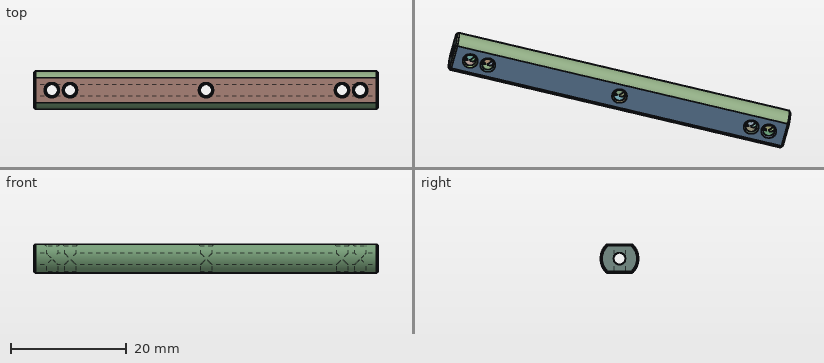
import cadquery as cq

shaft_length = 59.38
shaft_diameter = 6.6
across_flats = 5.0
end_chamfer = 0.3

bore_diameter = 2.0

cross_hole_diameter = 2.0
countersink_diameter = 2.6
inner_hole_offset = 23.45
hole_pair_spacing = 3.13
outer_hole_offset = inner_hole_offset + hole_pair_spacing
cross_hole_positions = [
    -outer_hole_offset,
    -inner_hole_offset,
    0.0,
    inner_hole_offset,
    outer_hole_offset,
]


def make_shaft():
    """Round bar centred on the origin, flattened at +Z and -Z, with chamfered ends."""
    bar = cq.Workplane("YZ").circle(shaft_diameter / 2).extrude(shaft_length / 2, both=True)
    flats = cq.Workplane("XY").box(shaft_length, shaft_diameter, across_flats)
    return bar.intersect(flats).faces("<X or >X").edges().chamfer(end_chamfer)


def make_bore():
    """Cutter for the bore through the full length of the shaft."""
    return cq.Workplane("YZ").circle(bore_diameter / 2).extrude(shaft_length / 2, both=True)


def make_cross_hole(x):
    """Cutter for one through hole along Z, with a 45 degree countersink at both flats."""
    half_height = across_flats / 2
    hole_radius = cross_hole_diameter / 2
    countersink_radius = countersink_diameter / 2
    countersink_depth = countersink_radius - hole_radius
    profile = (
        cq.Workplane("XZ")
        .moveTo(0, -half_height)
        .lineTo(countersink_radius, -half_height)
        .lineTo(hole_radius, -half_height + countersink_depth)
        .lineTo(hole_radius, half_height - countersink_depth)
        .lineTo(countersink_radius, half_height)
        .lineTo(0, half_height)
        .close()
    )
    return profile.revolve(360, (0, 0, 0), (0, 1, 0)).translate((x, 0, 0))


result = make_shaft().cut(make_bore())
for hole_x in cross_hole_positions:
    result = result.cut(make_cross_hole(hole_x))